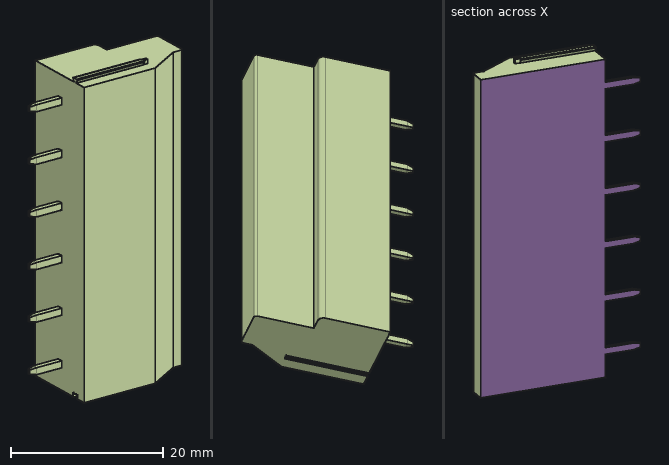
import cadquery as cq

width = 11.2
depth = 18.0
pole_count = 6
pole_pitch = 7.5
height = pole_count * pole_pitch
step_x = 2.4
step_y = 9.8
step_radius = 0.8
nose_right_x = 8.2
nose_radius = 0.4
slope_low_y = 11.4
slope_high_y = 16.4

pin_x = 5.68
pin_width = 0.8
pin_height = 1.0
pin_length = 5.0
pin_tip_length = 0.93
pin_tip_width = 0.35
pin_tip_height = 0.6

dovetail_x = 9.15
dovetail_height = 0.6
dovetail_width = 1.0
rib_neck = 0.55
rib_chamfer = 0.12
rib_length = 10.8
tongue_width = 0.45
tongue_length = 0.7
groove_neck = 0.7
groove_wall_height = 0.28
groove_length = rib_length + tongue_length


def make_housing():
    outline = [
        (0, 0),
        (width, 0),
        (width, slope_low_y),
        (nose_right_x, slope_high_y),
        (nose_right_x, depth),
        (step_x, depth),
        (step_x, step_y),
        (0, step_y),
    ]
    housing = cq.Workplane("XY").polyline(outline).close().extrude(height)
    for x in (step_x, nose_right_x):
        nose_corner = cq.NearestToPointSelector((x, depth, height / 2))
        housing = housing.edges(nose_corner).fillet(nose_radius)
    step_corner = cq.NearestToPointSelector((0, step_y, height / 2))
    return housing.edges(step_corner).fillet(step_radius)


def make_dovetail(base_z, length, neck_width, shoulder_height, top_width):
    """Dovetail bar along +Y: it flares from the neck up to a shoulder, then runs to its flat top."""
    shoulder_z = base_z + dovetail_height - shoulder_height
    top_z = base_z + dovetail_height
    section = [
        (dovetail_x - neck_width / 2, base_z),
        (dovetail_x + neck_width / 2, base_z),
        (dovetail_x + dovetail_width / 2, shoulder_z),
        (dovetail_x + top_width / 2, top_z),
        (dovetail_x - top_width / 2, top_z),
        (dovetail_x - dovetail_width / 2, shoulder_z),
    ]
    return cq.Workplane("XZ").polyline(section).close().extrude(-length)


def make_rib():
    """Dovetail rib with chamfered top edges and a narrow tongue at its +Y end."""
    top_width = dovetail_width - 2 * rib_chamfer
    bar = make_dovetail(height, rib_length, rib_neck, rib_chamfer, top_width)
    tongue = cq.Workplane("XY").box(
        tongue_width,
        rib_length + tongue_length,
        dovetail_height,
        centered=(True, False, False),
    )
    return bar.union(tongue.translate((dovetail_x, 0, height)))


def make_groove():
    """Volume of the dovetail groove, with upright walls below its roof."""
    return make_dovetail(0, groove_length, groove_neck, groove_wall_height, dovetail_width)


def make_pin(z):
    """Rectangular pin pointing along -Y with a tapered tip."""
    shank_length = pin_length - pin_tip_length
    base = cq.Workplane("XZ", origin=(pin_x, 0, z))
    shank = base.rect(pin_width, pin_height).extrude(shank_length)
    tip = (
        base.workplane(offset=shank_length)
        .rect(pin_width, pin_height)
        .workplane(offset=pin_tip_length)
        .rect(pin_tip_width, pin_tip_height)
        .loft(ruled=True)
    )
    return shank.union(tip)


result = make_housing().cut(make_groove()).union(make_rib())
for pole in range(pole_count):
    result = result.union(make_pin((pole + 0.5) * pole_pitch))